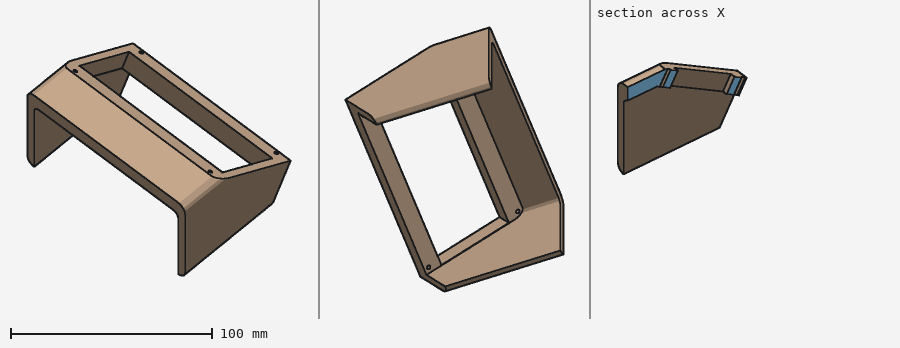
import cadquery as cq
import math

width = 108.5
depth = 75.7
height = 56.1

slope_angle = 30.0
roof_depth = 23.8
panel_thickness = 10.0
foot_rise = 0.3

wall = 4.8
outer_radius = 5.0
inner_radius = 3.5

window_margin = 5.0
window_start = 9.7
window_end = 50.8

hole_diameter = 2.0
hole_margin = 7.8
hole_rows = (3.0, 57.4)

slope = math.radians(slope_angle)
slope_length = (depth - roof_depth) / math.cos(slope)
back_corner_z = height - slope_length * math.sin(slope)
foot_depth = depth - (back_corner_z - foot_rise) * math.tan(slope)
roof_thickness = panel_thickness * math.cos(slope)
roof_inner_depth = roof_depth - panel_thickness * math.sin(slope)
panel_low_y = depth - panel_thickness * math.sin(slope)
panel_low_z = back_corner_z - roof_thickness


def extrude_across(points, start_x, length):
    """Extrude a (y, z) outline along X from start_x."""
    return cq.Workplane("YZ", origin=(start_x, 0, 0)).polyline(points).close().extrude(length)


def slope_plane():
    """Plane on the panel face: x across the part, y down the slope."""
    normal = (0, math.sin(slope), math.cos(slope))
    return cq.Plane(origin=(0, roof_depth, height), xDir=(1, 0, 0), normal=normal)


def make_shell():
    """Solid side profile with rounded long edges, hollowed under roof and panel."""
    outline = [
        (0, 0),
        (0, height),
        (roof_depth, height),
        (depth, back_corner_z),
        (foot_depth, foot_rise),
    ]
    body = extrude_across(outline, -width / 2, width)
    body = body.edges("|Y").fillet(outer_radius)
    body = body.faces("<Z").edges("<X or >X").fillet(outer_radius)

    hollow_outline = [
        (0, 0),
        (0, height - roof_thickness),
        (roof_inner_depth, height - roof_thickness),
        (panel_low_y, panel_low_z),
        (depth, panel_low_z),
        (depth, 0),
    ]
    inner_width = width - 2 * wall
    hollow = extrude_across(hollow_outline, -inner_width / 2, inner_width)
    rounded = (
        cq.Workplane("XZ")
        .rect(inner_width, 2 * (height - roof_thickness))
        .extrude(-depth)
        .edges("|Y")
        .fillet(inner_radius)
    )
    return body.cut(hollow.intersect(rounded))


def make_window():
    """Cutter for the rectangular opening in the panel."""
    return (
        cq.Workplane(slope_plane())
        .center(0, (window_start + window_end) / 2)
        .rect(width - 2 * window_margin, window_end - window_start)
        .extrude(-panel_thickness)
    )


def make_holes():
    """Cutters for the screw holes at the panel corners."""
    hole_x = width / 2 - hole_margin
    centres = [(x, distance) for distance in hole_rows for x in (-hole_x, hole_x)]
    return (
        cq.Workplane(slope_plane())
        .pushPoints(centres)
        .circle(hole_diameter / 2)
        .extrude(-panel_thickness)
    )


result = make_shell().cut(make_window()).cut(make_holes())